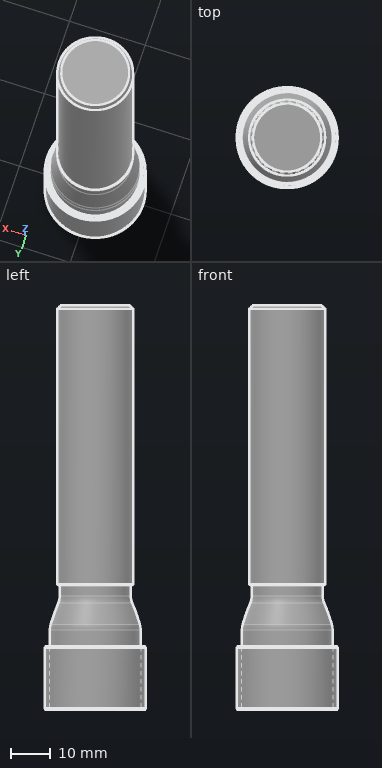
import cadquery as cq
import math

bushing_radius = 12.7
bushing_height = 16.1
bushing_chamfer_height = 0.5
bushing_chamfer_width = 0.3
bore_chamfer = 0.4

pin_height = 101.6
foot_radius = 11.43
foot_top = 20.1
taper_bottom = 21.5
taper_bottom_angle = 17.0
taper_top = 26.8
taper_top_angle = 24.0
neck_bottom = 28.7
neck_radius = 8.9
shaft_radius = 9.5
shaft_bottom = 31.4
shaft_bottom_chamfer = 0.2
neck_fillet = shaft_radius - shaft_bottom_chamfer - neck_radius
tip_chamfer = 1.0


def radial_step(height, start_angle, end_angle):
    """Radial change along a circular arc whose ends lean by the given angles."""
    return height * math.tan(math.radians((start_angle + end_angle) / 2))


def lean(angle):
    """Direction of an upward profile line leaning inward by the given angle."""
    return (-math.sin(math.radians(angle)), math.cos(math.radians(angle)))


def make_pin():
    taper_bottom_radius = foot_radius - radial_step(taper_bottom - foot_top, 0, taper_bottom_angle)
    taper_top_radius = neck_radius + radial_step(neck_bottom - taper_top, taper_top_angle, 0)
    profile = (
        cq.Workplane("XZ")
        .lineTo(foot_radius, 0)
        .lineTo(foot_radius, foot_top)
        .tangentArcPoint((taper_bottom_radius, taper_bottom), relative=False)
        .spline(
            [(taper_top_radius, taper_top)],
            tangents=[lean(taper_bottom_angle), lean(taper_top_angle)],
            includeCurrent=True,
        )
        .tangentArcPoint((neck_radius, neck_bottom), relative=False)
        .lineTo(neck_radius, shaft_bottom - neck_fillet)
        .tangentArcPoint((shaft_radius - shaft_bottom_chamfer, shaft_bottom), relative=False)
        .lineTo(shaft_radius, shaft_bottom + shaft_bottom_chamfer)
        .lineTo(shaft_radius, pin_height - tip_chamfer)
        .lineTo(shaft_radius - tip_chamfer, pin_height)
        .lineTo(0, pin_height)
        .close()
    )
    return profile.revolve(360, (0, 0, 0), (0, 1, 0))


def make_bushing():
    chamfered_radius = bushing_radius - bushing_chamfer_width
    profile = (
        cq.Workplane("XZ")
        .moveTo(foot_radius, 0)
        .lineTo(chamfered_radius, 0)
        .lineTo(bushing_radius, bushing_chamfer_height)
        .lineTo(bushing_radius, bushing_height - bushing_chamfer_height)
        .lineTo(chamfered_radius, bushing_height)
        .lineTo(foot_radius + bore_chamfer, bushing_height)
        .lineTo(foot_radius, bushing_height - bore_chamfer)
        .close()
    )
    return profile.revolve(360, (0, 0, 0), (0, 1, 0))


pin = make_pin()
bushing = make_bushing()

result = cq.Compound.makeCompound([pin.val(), bushing.val()])